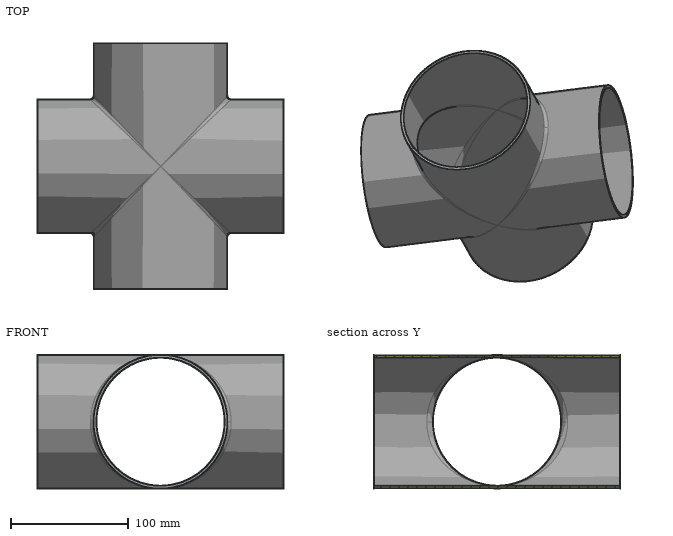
import cadquery as cq

run_length = 210.0
outer_diameter = 114.2
inner_diameter = 109.2
outer_fillet_radius = 3.0

wall_thickness = (outer_diameter - inner_diameter) / 2
inner_fillet_radius = outer_fillet_radius + wall_thickness


def straight_run(plane, diameter):
    """A full-length cylinder centred on the origin, normal to the given plane."""
    return cq.Workplane(plane).circle(diameter / 2).extrude(run_length / 2, both=True)


def filleted_cross(diameter, fillet_radius):
    """Two equal cylinders along X and Y, with the seams where they meet rounded."""
    cross = straight_run("YZ", diameter).union(straight_run("XZ", diameter))
    return cross.edges("%ELLIPSE").fillet(fillet_radius)


outside = filleted_cross(outer_diameter, outer_fillet_radius)
bore = filleted_cross(inner_diameter, inner_fillet_radius)

result = outside.cut(bore)